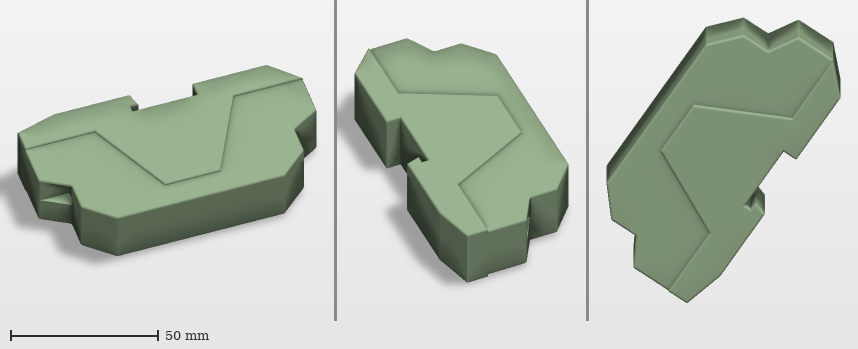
import cadquery as cq

width = 50.5
length = 99.6
body_height = 22.5
cover_step = 1.0
edge_radius = 0.9

half_length = length / 2
cover_height = body_height - 2 * cover_step

seam_x = 11.8
tongue_x = 42.0
tongue_root_y = 24.9
tongue_tip_y = 10.0
upper_wall_x = 2.1
upper_corner_y = 40.0
slot_top_y = 13.3
slot_floor_x = 7.3
slot_bottom_y = -9.8
hook_x = 5.1
hook_tip_y = -6.9
hook_root_y = -8.5
lower_corner_y = -35.4
bottom_corner_x = 3.9

end_x = 26.0
notch_x = 31.7
shoulder_x = 41.7
shoulder_y = 39.9
side_y = 30.0

pocket_left_x = 26.3
pocket_right_x = 32.0
pocket_depth = 1.0


def prism(points, height):
    """Extrude an outline symmetrically about Z = 0."""
    return cq.Workplane("XY").polyline(points).close().extrude(height / 2, both=True)


def make_body():
    """Mounting half with rounded rims on both broad faces."""
    outline = [
        (bottom_corner_x, -half_length),
        (seam_x, -half_length),
        (seam_x, -tongue_root_y),
        (tongue_x, -tongue_tip_y),
        (tongue_x, tongue_tip_y),
        (seam_x, tongue_root_y),
        (seam_x, half_length),
        (upper_wall_x, upper_corner_y),
        (upper_wall_x, slot_top_y),
        (slot_floor_x, slot_top_y),
        (slot_floor_x, slot_bottom_y),
        (hook_x, slot_bottom_y),
        (hook_x, hook_tip_y),
        (0, hook_root_y),
        (0, lower_corner_y),
    ]
    return prism(outline, body_height).faces("|Z").edges().fillet(edge_radius)


def make_cover():
    """Thinner half with rounded corners and rims; its seam side stays sharp."""
    lower_end = [
        (end_x, -half_length),
        (notch_x, -shoulder_y),
        (shoulder_x, -shoulder_y),
        (width, -side_y),
    ]
    upper_end = [(x, -y) for x, y in reversed(lower_end)]
    outline = [(seam_x, -half_length)] + lower_end + upper_end + [(seam_x, half_length)]
    cover = prism(outline, cover_height)
    cover = cover.edges("|Z").edges("not <X").fillet(edge_radius)
    return cover.faces("|Z").edges("not <X").fillet(edge_radius)


def make_pocket():
    """Cutter reaching from the mid plane up to the start of the cover's rim rounding."""
    pocket_top_z = cover_height / 2 - edge_radius
    back_y = -shoulder_y + pocket_depth
    return cq.Workplane("XY").box(
        pocket_right_x - pocket_left_x,
        back_y + half_length,
        pocket_top_z,
        centered=False,
    ).translate((pocket_left_x, -half_length, 0))


result = make_body().union(make_cover()).cut(make_pocket())